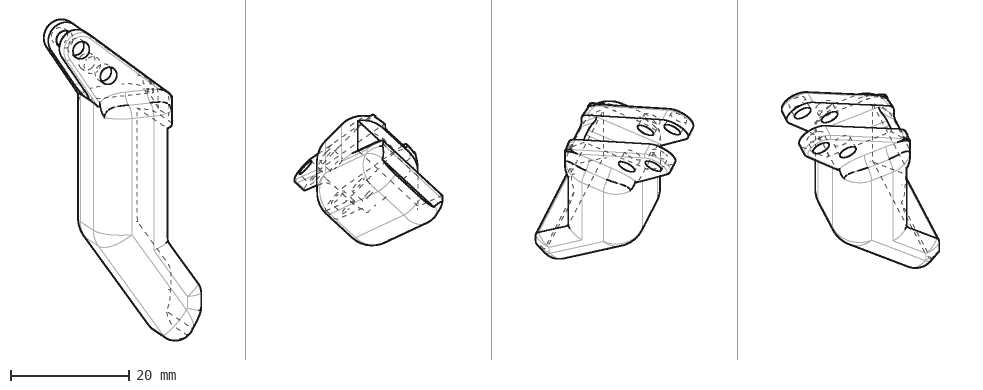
import cadquery as cq
import math


width = 16.0
depth = 14.0
edge_radius = 5.0
bend_z = -24.0
bend_angle = math.radians(35)
tip_back_y = 20.13
toe_y = 14.96
toe_radius = 2.7

relief_depth = 2.0
relief_top_z = -4.75
relief_tip_mid = (17.8, -38.7)
relief_tip_end = (16.95, -40.7)

shoulder_radius = 2.0
root_steps = 8
root_last_tilt = math.radians(82)

lug_outer_x = 5.0
lug_edge_radius = 0.5
lug_back_radius = 3.0
lug_back_fall = math.radians(39)
hinge_y, hinge_z = -3.0, 10.0
hinge_radius = 3.0
pin_centers = [(hinge_y, hinge_z), (2.0, 5.0)]
pin_diameter = 3.0

slot_width = 5.0
slot_floor_radius = 2.0
ramp_edge_radius = 0.5
ramp_start_y = 11.75
ramp_angle = math.radians(60)

clearance = 10.0
slope = math.tan(bend_angle)
toe_apex_z = bend_z - toe_y / slope
tip_low_z = toe_apex_z + (tip_back_y - toe_y) / slope
tip_top_z = bend_z - (tip_back_y - depth) / slope
corner_x = width / 2 - edge_radius
corner_front_y = edge_radius
body_top_z = -shoulder_radius
column_base_z = 2 * body_top_z


def on_circle(center, radius, angle):
    """Point on a circle in the YZ plane, with the angle measured from +Y towards +Z."""
    return (center[0] + radius * math.cos(angle), center[1] + radius * math.sin(angle))


hinge = (hinge_y, hinge_z)
back_touch = math.pi / 2 - lug_back_fall
back_start = on_circle(hinge, hinge_radius, back_touch)
back_end_z = back_start[1] - (depth - back_start[0]) * math.tan(lug_back_fall)


def side_prism(outline, half_width):
    """Extrude a YZ outline symmetrically about X = 0."""
    return outline.close().extrude(half_width, both=True)


def cross_edge(solid, y, z):
    """Edge parallel to X that passes nearest to a point in the YZ plane."""
    return solid.edges("|X").edges(cq.selectors.NearestToPointSelector((0, y, z)))


def make_body():
    """Bent column with rounded edges and a rounded toe."""
    outline = cq.Workplane("YZ").polyline([
        (0, body_top_z),
        (0, bend_z),
        (toe_y, toe_apex_z),
        (tip_back_y, tip_low_z),
        (tip_back_y, tip_top_z),
        (depth, bend_z),
        (depth, body_top_z),
    ])
    body = side_prism(outline, width / 2)
    body = cross_edge(body, toe_y, toe_apex_z).fillet(toe_radius)

    side_edges = body.faces("<X or >X").edges().edges("not(>Z)")
    bend_edge = cross_edge(body, 0, bend_z)
    tip_edge = cross_edge(body, tip_back_y, tip_top_z)
    return side_edges.add(bend_edge).add(tip_edge).fillet(edge_radius)


def make_relief():
    """Cutter that lowers the back by the relief depth, with arcs around the corners."""
    inner_y = depth - relief_depth
    bend = (depth, bend_z)
    corner_rise = edge_radius * math.tan(bend_angle / 2)
    tip_radius = edge_radius - relief_depth
    tip_center = (tip_back_y - edge_radius, tip_top_z - corner_rise)
    tip_flat_end = (tip_back_y - relief_depth, tip_low_z + corner_rise)
    outer_y = tip_back_y + clearance
    low_z = toe_apex_z - clearance
    outline = (
        cq.Workplane("YZ")
        .moveTo(outer_y, relief_top_z)
        .lineTo(inner_y, relief_top_z)
        .lineTo(inner_y, bend_z)
        .threePointArc(
            on_circle(bend, relief_depth, math.pi + bend_angle / 2),
            on_circle(bend, relief_depth, math.pi + bend_angle),
        )
        .lineTo(*on_circle(tip_center, tip_radius, bend_angle))
        .threePointArc(
            on_circle(tip_center, tip_radius, bend_angle / 2),
            on_circle(tip_center, tip_radius, 0),
        )
        .lineTo(*tip_flat_end)
        .threePointArc(relief_tip_mid, relief_tip_end)
        .lineTo(relief_tip_end[0], low_z)
        .lineTo(outer_y, low_z)
    )
    return side_prism(outline, width)


def body_column(top_z):
    """Upright block over the body outline, with its rounded vertical corners."""
    return (
        cq.Workplane("XY", origin=(0, depth / 2, column_base_z))
        .rect(width, depth)
        .extrude(top_z - column_base_z)
        .edges("|Z")
        .fillet(edge_radius)
    )


def make_shoulders():
    """Body top with a rounded upper edge."""
    return body_column(0).faces(">Z").edges().fillet(shoulder_radius)


def make_lug_root():
    """Concave rounding between the outer wall of one lug and the rounded upper edge of the body.

    It is the space left below a ball that rolls along the wall and touches the body edge.
    The front half is built and mirrored to the back.
    """
    middle_y = depth / 2
    ball_x = lug_outer_x + shoulder_radius
    offset_x = ball_x - corner_x
    ring_radius = edge_radius - shoulder_radius
    reach = 2 * shoulder_radius

    first_tilt = math.asin((offset_x - ring_radius) / reach)
    ball_points = []
    contact_points = []
    for step in range(root_steps + 1):
        tilt = first_tilt + (root_last_tilt - first_tilt) * step / root_steps
        distance = ring_radius + reach * math.sin(tilt)
        run = math.sqrt(distance**2 - offset_x**2) if step else 0.0
        contact_share = (1 + ring_radius / distance) / 2
        ball_points.append((corner_front_y - run, body_top_z + reach * math.cos(tilt)))
        contact_points.append((corner_x + offset_x * contact_share, corner_front_y - run * contact_share))

    first_z = ball_points[0][1]
    end_y = ball_points[-1][0]

    end_run = corner_front_y - end_y
    end_direction = (-distance / end_run * math.cos(tilt), -math.sin(tilt))

    def ball_path():
        return (
            cq.Workplane("YZ", origin=(ball_x, 0, 0))
            .moveTo(middle_y, first_z)
            .lineTo(*ball_points[0])
            .spline(ball_points[1:], tangents=[(-1, 0), end_direction], includeCurrent=True)
        )

    channel = (
        cq.Workplane("XZ", origin=(ball_x, middle_y, first_z))
        .circle(shoulder_radius)
        .sweep(ball_path())
    )
    below_path = (
        ball_path()
        .lineTo(end_y, column_base_z)
        .lineTo(middle_y, column_base_z)
        .close()
        .extrude(-ball_x)
    )
    inner_x = lug_outer_x - lug_edge_radius
    inside_contact = (
        cq.Workplane("XY", origin=(0, 0, column_base_z))
        .moveTo(inner_x, middle_y)
        .lineTo(contact_points[0][0], middle_y)
        .lineTo(*contact_points[0])
        .spline(contact_points[1:], includeCurrent=True)
        .lineTo(lug_outer_x, end_y)
        .lineTo(inner_x, end_y)
        .close()
        .extrude(clearance)
    )
    front_half = below_path.intersect(inside_contact).cut(channel)
    root = front_half.union(front_half.mirror("XZ", (0, middle_y, 0)))
    return root.intersect(body_column(hinge_z)).intersect(make_rear_limit())


def make_rear_limit():
    """Block below the upper back edge of the lugs, rounded into the back of the body."""
    front_z = back_end_z + depth * math.tan(lug_back_fall)
    outline = cq.Workplane("YZ").polyline([
        (0, column_base_z),
        (0, front_z),
        (depth, back_end_z),
        (depth, column_base_z),
    ])
    block = side_prism(outline, width)
    return cross_edge(block, depth, back_end_z).fillet(lug_back_radius)


def make_lug_block():
    """Both lugs as one block: a hinge eye that widens down to the full depth of the body."""
    front_lean = math.atan2(-hinge_y, hinge_z) + math.asin(hinge_radius / math.hypot(*hinge))
    front_touch = math.pi + front_lean
    base_y = -column_base_z * math.tan(front_lean)

    outline = (
        cq.Workplane("YZ")
        .moveTo(base_y, column_base_z)
        .lineTo(*on_circle(hinge, hinge_radius, front_touch))
        .threePointArc(on_circle(hinge, hinge_radius, (front_touch + back_touch) / 2), back_start)
        .lineTo(depth, back_end_z)
        .lineTo(depth, column_base_z)
    )
    block = side_prism(outline, lug_outer_x)

    reach = depth + clearance
    envelope = (
        cq.Workplane("XY", origin=(0, depth - reach / 2, column_base_z))
        .rect(width, reach)
        .extrude(hinge_z + clearance)
        .edges("|Z and >Y")
        .fillet(edge_radius)
    )
    block = block.intersect(envelope)

    middle_y = depth / 2
    middle_z = back_end_z + (depth - middle_y) * math.tan(lug_back_fall)
    back_slope = block.faces(cq.selectors.NearestToPointSelector((0, middle_y, middle_z)))
    rear_edges = cq.selectors.BoxSelector(
        (-width, depth - lug_back_radius / 2, column_base_z), (width, depth + clearance, hinge_z)
    )
    block = back_slope.edges(rear_edges).fillet(lug_back_radius)
    return block.faces("<X or >X").edges("not(<Z or |Z)").fillet(lug_edge_radius)


def make_pedestal():
    """Middle of the body between the shoulders, kept square up to the slot floor."""
    middle = cq.Workplane("XY").rect(2 * lug_outer_x, depth).extrude(clearance, both=True)
    return body_column(0).intersect(middle)


def make_slot():
    """Cutter for the slot between the lugs, with rounded floor corners."""
    return (
        cq.Workplane("XY")
        .rect(slot_width, 2 * (depth + clearance))
        .extrude(hinge_z + clearance)
        .edges("|Y and <Z")
        .fillet(slot_floor_radius)
    )


def make_ramp():
    """Cutter for the sloped channel that leaves the slot at the back."""
    fall = math.tan(ramp_angle)
    start_y = ramp_start_y - slot_floor_radius / fall
    end_y = depth + clearance
    outline = (
        cq.Workplane("YZ")
        .moveTo(start_y, slot_floor_radius)
        .lineTo(end_y, (ramp_start_y - end_y) * fall)
        .lineTo(end_y, slot_floor_radius)
    )
    cutter = side_prism(outline, slot_width / 2)
    floor_y = (start_y + end_y) / 2
    floor_z = (ramp_start_y - floor_y) * fall
    floor_face = cutter.faces(cq.selectors.NearestToPointSelector((0, floor_y, floor_z)))
    return floor_face.edges("not(|X)").fillet(ramp_edge_radius)


def make_pin_holes():
    """Cutters for the pin holes through both lugs."""
    return cq.Workplane("YZ").pushPoints(pin_centers).circle(pin_diameter / 2).extrude(width, both=True)


lug_root = make_lug_root()

result = (
    make_body()
    .cut(make_relief())
    .union(make_shoulders())
    .union(make_lug_block())
    .union(make_pedestal())
    .union(lug_root)
    .union(lug_root.mirror("YZ"))
    .cut(make_slot())
    .cut(make_ramp())
    .cut(make_pin_holes())
)